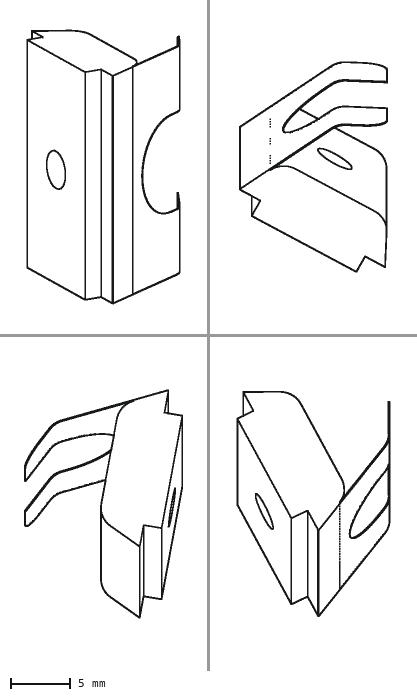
import cadquery as cq
import math

length = 20.0
overall_width = 13.9
overall_depth = 12.3
foot_width = 10.0
foot_depth = 1.52
body_depth = 5.35
flank_angle = math.radians(63.5)
shoulder_radius = 2.0
hole_diameter = 3.25

leaf_thickness = 0.09
leaf_tip_angle = math.radians(26.5)
bend_start_y = 9.82
bend_inner_radius = 1.9
leaf_corner_radius = 2.0
notch_width = 8.52
notch_bottom_y = 5.42

leaf_end_run = leaf_thickness * math.sin(flank_angle)
leaf_end_rise = leaf_thickness * math.cos(flank_angle)
flange_half_width = (overall_width - leaf_end_run) / 2
body_center_x = -leaf_end_run / 2
flange_tip_x = body_center_x + flange_half_width


def flank_x(y):
    """X of the +X body flank, extended in a straight line, at height y."""
    return flange_tip_x - (y - foot_depth) / math.tan(flank_angle)


def make_body():
    half_foot = foot_width / 2
    half_top = flank_x(body_depth) - body_center_x
    right_side = [
        (half_foot, 0),
        (half_foot, foot_depth),
        (flange_half_width, foot_depth),
        (half_top, body_depth),
    ]
    left_side = [(-x, y) for x, y in reversed(right_side)]
    body = (
        cq.Workplane("XY", origin=(body_center_x, 0, -length / 2))
        .polyline(right_side + left_side)
        .close()
        .extrude(length)
    )
    body = body.edges("|Z and >Y").fillet(shoulder_radius)
    hole = (
        cq.Workplane("XZ", origin=(body_center_x, 0, 0))
        .circle(hole_diameter / 2)
        .extrude(-body_depth)
    )
    return body.cut(hole)


def make_leaf_blank():
    bend_center = (
        flank_x(bend_start_y) - bend_inner_radius * math.sin(flank_angle),
        bend_start_y - bend_inner_radius * math.cos(flank_angle),
    )
    bend_outer_radius = bend_inner_radius + leaf_thickness
    bend_start = math.pi / 2 - flank_angle
    bend_end = math.pi / 2 - leaf_tip_angle
    bend_middle = (bend_start + bend_end) / 2

    def bend_point(radius, angle):
        return (
            bend_center[0] + radius * math.cos(angle),
            bend_center[1] + radius * math.sin(angle),
        )

    inner_end = bend_point(bend_inner_radius, bend_end)
    outer_end = bend_point(bend_outer_radius, bend_end)
    tip_length = (overall_depth - outer_end[1]) / math.sin(leaf_tip_angle)

    def tip_point(point):
        return (
            point[0] - tip_length * math.cos(leaf_tip_angle),
            point[1] + tip_length * math.sin(leaf_tip_angle),
        )

    blank = (
        cq.Workplane("XY", origin=(0, 0, -length / 2))
        .moveTo(flange_tip_x, foot_depth)
        .lineTo(flange_tip_x + leaf_end_run, foot_depth + leaf_end_rise)
        .lineTo(*bend_point(bend_outer_radius, bend_start))
        .threePointArc(bend_point(bend_outer_radius, bend_middle), outer_end)
        .lineTo(*tip_point(outer_end))
        .lineTo(*tip_point(inner_end))
        .lineTo(*inner_end)
        .threePointArc(
            bend_point(bend_inner_radius, bend_middle),
            bend_point(bend_inner_radius, bend_start),
        )
        .close()
        .extrude(length)
    )
    return blank.faces("<X").edges("not |Z").fillet(leaf_corner_radius)


def make_notch_cutter():
    """Round-bottomed slot, square to the flank and open toward the leaf tip."""
    radius = notch_width / 2
    center_y = notch_bottom_y + radius * math.sin(flank_angle)
    flank_normal = (math.sin(flank_angle), math.cos(flank_angle), 0)
    toward_tip = (-math.cos(flank_angle), math.sin(flank_angle), 0)
    plane = cq.Plane(origin=(flank_x(center_y), center_y, 0), xDir=toward_tip, normal=flank_normal)
    return (
        cq.Workplane(plane)
        .moveTo(overall_depth, -radius)
        .lineTo(0, -radius)
        .threePointArc((-radius, 0), (0, radius))
        .lineTo(overall_depth, radius)
        .close()
        .extrude(overall_depth, both=True)
    )


leaf = make_leaf_blank().cut(make_notch_cutter())
result = make_body().union(leaf)